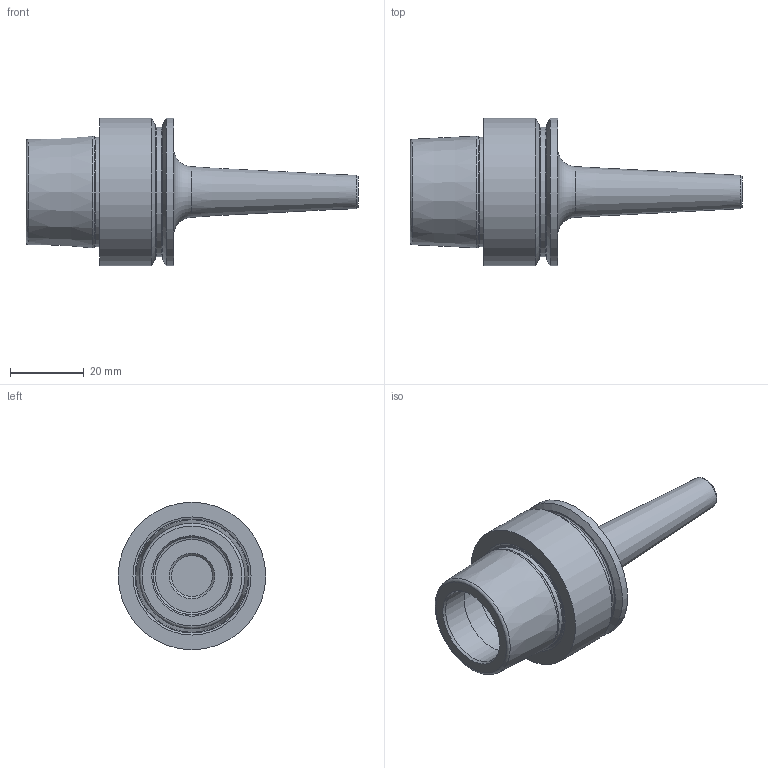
import cadquery as cq
import math


flange_radius = 20.0
flange_length = 20.0

groove_centre_x = 16.0
groove_mouth_width = 4.0
groove_side_angle = math.radians(30)
groove_slot_width = 2.0
groove_floor_radius = 17.5
groove_floor_fillet = 0.4

shank_length = 20.0
shank_end_radius = 14.25
shank_taper = 1 / 20
shank_end_fillet = 0.75
shank_taper_end_x = -2.0
shank_back_chamfer_end_x = -1.4
shank_back_chamfer_angle = math.radians(15)
neck_start_x = -1.2
neck_radius = 14.9
neck_root_fillet = 0.2

relief_mouth_radius = 16.0
relief_floor_radius = 15.45
relief_side_angle = math.radians(70)
relief_depth = (relief_mouth_radius - relief_floor_radius) / math.tan(relief_side_angle)

bore_radius = 10.5
bore_chamfer = 0.4
bore_chamfer_angle = math.radians(30)
bore_depth = 7.8
undercut_radius = 12.75
undercut_straight_end_depth = 15.5
undercut_cone_angle = math.radians(10)
undercut_end_depth = 20.0
counterbore_radius = 9.9
counterbore_chamfer = 0.55
counterbore_chamfer_angle = math.radians(70)
counterbore_depth = 22.0
centre_hole_radius = 5.55
centre_hole_chamfer = 0.6
centre_hole_depth = 26.0

nose_end_x = 70.0
nose_end_radius = 4.5
nose_end_chamfer_length = 0.5
nose_end_chamfer = 0.3
nose_half_angle = math.radians(3)
nose_root_fillet = 5.0


def turn(profile):
    """Revolve a profile of (x, radius) points about the X axis."""
    return profile.close().revolve(360, (0, 0, 0), (1, 0, 0))


def make_shank():
    taper_end_radius = shank_end_radius + shank_taper * (shank_length + shank_taper_end_x)
    chamfer_length = shank_back_chamfer_end_x - shank_taper_end_x
    chamfer_end_radius = taper_end_radius - chamfer_length * math.tan(shank_back_chamfer_angle)
    body = turn(
        cq.Workplane("XY")
        .moveTo(-shank_length, 0)
        .lineTo(-shank_length, shank_end_radius)
        .lineTo(shank_taper_end_x, taper_end_radius)
        .lineTo(shank_back_chamfer_end_x, chamfer_end_radius)
        .lineTo(neck_start_x, neck_radius)
        .lineTo(relief_depth - neck_root_fillet, neck_radius)
        .radiusArc((relief_depth, neck_radius + neck_root_fillet), -neck_root_fillet)
        .lineTo(relief_depth, 0)
    )
    return body.faces("<X").edges().fillet(shank_end_fillet)


def make_flange():
    return turn(
        cq.Workplane("XY")
        .moveTo(relief_depth, 0)
        .lineTo(relief_depth, relief_floor_radius)
        .lineTo(0, relief_mouth_radius)
        .lineTo(0, flange_radius)
        .lineTo(flange_length, flange_radius)
        .lineTo(flange_length, 0)
    )


def make_gripper_groove():
    """Ring-shaped cutter: a V mouth leading into a narrow slot with rounded floor corners."""
    mouth_half = groove_mouth_width / 2
    slot_half = groove_slot_width / 2
    slot_top_radius = flange_radius - (mouth_half - slot_half) / math.tan(groove_side_angle)
    ring = turn(
        cq.Workplane("XY")
        .moveTo(groove_centre_x - mouth_half, flange_radius)
        .lineTo(groove_centre_x - slot_half, slot_top_radius)
        .lineTo(groove_centre_x - slot_half, groove_floor_radius)
        .lineTo(groove_centre_x + slot_half, groove_floor_radius)
        .lineTo(groove_centre_x + slot_half, slot_top_radius)
        .lineTo(groove_centre_x + mouth_half, flange_radius)
    )
    floor_edges = ring.edges(cq.selectors.RadiusNthSelector(0))
    return floor_edges.fillet(groove_floor_fillet)


def make_nose():
    """Cone that flows into the flange through a tangent root fillet."""
    sin_a = math.sin(nose_half_angle)
    cos_a = math.cos(nose_half_angle)
    arc_centre_x = flange_length + nose_root_fillet
    cone_radius = nose_end_radius + (nose_end_x - arc_centre_x) * math.tan(nose_half_angle)
    arc_centre_radius = cone_radius + nose_root_fillet / cos_a
    mid_angle = (math.pi / 2 - nose_half_angle) / 2
    arc_mid = (
        arc_centre_x - nose_root_fillet * math.cos(mid_angle),
        arc_centre_radius - nose_root_fillet * math.sin(mid_angle),
    )
    arc_end = (
        arc_centre_x - nose_root_fillet * sin_a,
        arc_centre_radius - nose_root_fillet * cos_a,
    )
    chamfer_start_x = nose_end_x - nose_end_chamfer_length
    chamfer_start_radius = nose_end_radius + nose_end_chamfer_length * math.tan(nose_half_angle)
    return turn(
        cq.Workplane("XY")
        .moveTo(flange_length, 0)
        .lineTo(flange_length, arc_centre_radius)
        .threePointArc(arc_mid, arc_end)
        .lineTo(chamfer_start_x, chamfer_start_radius)
        .lineTo(nose_end_x, nose_end_radius - nose_end_chamfer)
        .lineTo(nose_end_x, 0)
    )


def make_hollow():
    """Bore, undercut, counterbore and centre hole as one cutting body."""
    mouth_x = -shank_length
    undercut_start_x = mouth_x + bore_depth
    cone_start_x = mouth_x + undercut_straight_end_depth
    undercut_end_x = mouth_x + undercut_end_depth
    cone_end_radius = undercut_radius - (undercut_end_x - cone_start_x) * math.tan(undercut_cone_angle)
    counterbore_start_x = undercut_end_x + counterbore_chamfer / math.tan(counterbore_chamfer_angle)
    counterbore_end_x = mouth_x + counterbore_depth
    hole_end_x = mouth_x + centre_hole_depth
    return turn(
        cq.Workplane("XY")
        .moveTo(mouth_x, 0)
        .lineTo(mouth_x, bore_radius + bore_chamfer)
        .lineTo(mouth_x + bore_chamfer / math.tan(bore_chamfer_angle), bore_radius)
        .lineTo(undercut_start_x, bore_radius)
        .lineTo(undercut_start_x, undercut_radius)
        .lineTo(cone_start_x, undercut_radius)
        .lineTo(undercut_end_x, cone_end_radius)
        .lineTo(undercut_end_x, counterbore_radius + counterbore_chamfer)
        .lineTo(counterbore_start_x, counterbore_radius)
        .lineTo(counterbore_end_x, counterbore_radius)
        .lineTo(counterbore_end_x, centre_hole_radius + centre_hole_chamfer)
        .lineTo(counterbore_end_x + centre_hole_chamfer, centre_hole_radius)
        .lineTo(hole_end_x, centre_hole_radius)
        .lineTo(hole_end_x, 0)
    )


body = make_flange().union(make_shank()).union(make_nose())
result = body.cut(make_hollow()).cut(make_gripper_groove())